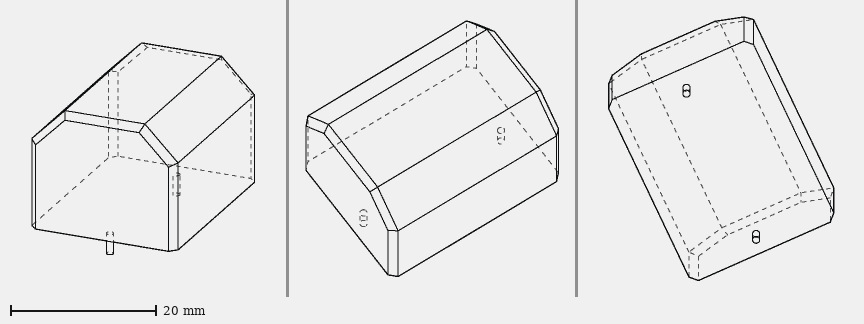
import cadquery as cq

case_width = 22.0
case_length = 28.5
case_height = 18.0
shoulder_chamfer = 5.0
end_chamfer = 1.0

lead_diameter = 1.0
lead_length = 3.0
lead_pitch = 23.0
lead_overlap = 0.5


def make_case():
    half_width = case_width / 2
    shoulder_x = half_width - shoulder_chamfer
    shoulder_z = case_height - shoulder_chamfer
    profile = [
        (-half_width, 0),
        (half_width, 0),
        (half_width, shoulder_z),
        (shoulder_x, case_height),
        (-shoulder_x, case_height),
        (-half_width, shoulder_z),
    ]
    case = (
        cq.Workplane("XZ")
        .polyline(profile)
        .close()
        .extrude(case_length / 2, both=True)
    )
    end_edges = case.faces("<Y or >Y").edges("not <Z")
    return end_edges.chamfer(end_chamfer)


def make_leads():
    half_pitch = lead_pitch / 2
    return (
        cq.Workplane("XY")
        .workplane(offset=-lead_length)
        .pushPoints([(0, -half_pitch), (0, half_pitch)])
        .circle(lead_diameter / 2)
        .extrude(lead_length + lead_overlap)
    )


result = make_case().union(make_leads())